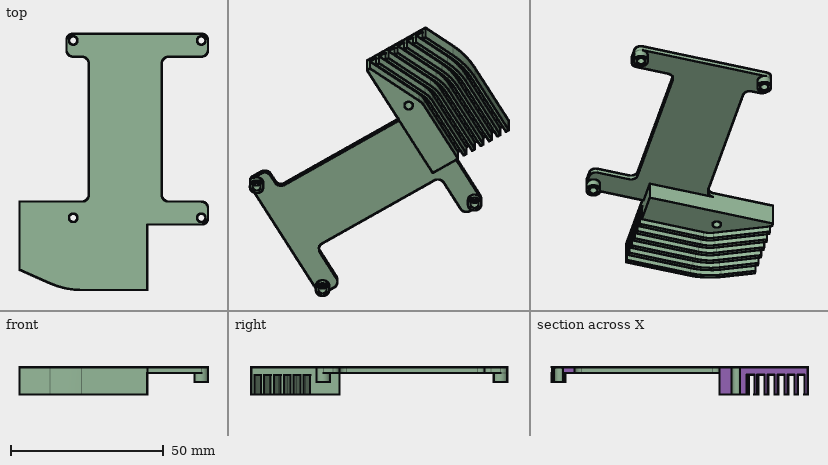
import cadquery as cq
import math

length_x = 61.77
length_y = 83.9
height = 9.0

hole_diameter = 2.7
standoff_diameter = 4.5
standoff_drop = 4.9
hole_spacing_x = 41.9
hole_spacing_y = 58.0
hole_margin = standoff_diameter / 2
hole_right = length_x - hole_margin
hole_left = hole_right - hole_spacing_x
hole_back = length_y - hole_margin
hole_front = hole_back - hole_spacing_y

plate_thickness = 2.0
arm_width = 7.6
corner_radius = hole_margin
arm_left = hole_left - hole_margin
web_left = 22.7
web_right = 46.6
front_arm_bottom = hole_front - hole_margin
front_arm_top = front_arm_bottom + arm_width
back_arm_bottom = length_y - arm_width

block_right = 41.85
block_back = front_arm_top
bend_radius = 25.0
bend_angle = math.radians(24.0)
slant_run = 10.1

channel_count = 6
roof_thickness = 2.5
fin_to_channel_ratio = 0.5
bend_end_x = slant_run + bend_radius * math.sin(bend_angle)
bend_rise = bend_radius * (1 - math.cos(bend_angle))
slant_top_y = bend_rise + slant_run * math.tan(bend_angle)
fin_field_width = (block_back - slant_top_y) * math.cos(bend_angle)
channel_width = fin_field_width / (channel_count + (channel_count + 1) * fin_to_channel_ratio)
fin_thickness = channel_width * fin_to_channel_ratio


def wall_points(offset):
    """Left end, bend start, bend middle, bend end of the front wall line moved inward by offset."""
    radius = bend_radius - offset

    def on_bend(angle):
        return (bend_end_x - radius * math.sin(angle), bend_radius - radius * math.cos(angle))

    left_end = (0, slant_top_y + offset / math.cos(bend_angle))
    return left_end, on_bend(bend_angle), on_bend(bend_angle / 2), on_bend(0)


def make_plate():
    outline = [
        (0, block_back),
        (web_left, block_back),
        (web_left, back_arm_bottom),
        (arm_left, back_arm_bottom),
        (arm_left, length_y),
        (length_x, length_y),
        (length_x, back_arm_bottom),
        (web_right, back_arm_bottom),
        (web_right, front_arm_top),
        (length_x, front_arm_top),
        (length_x, front_arm_bottom),
        (0, front_arm_bottom),
    ]
    plate = (
        cq.Workplane("XY", origin=(0, 0, height - plate_thickness))
        .polyline(outline)
        .close()
        .extrude(plate_thickness)
    )
    return plate.edges("|Z exc <X").fillet(corner_radius)


def make_block():
    left_end, bend_start, bend_middle, bend_end = wall_points(0)
    return (
        cq.Workplane("XY")
        .moveTo(*left_end)
        .lineTo(*bend_start)
        .threePointArc(bend_middle, bend_end)
        .lineTo(block_right, 0)
        .lineTo(block_right, block_back)
        .lineTo(0, block_back)
        .close()
        .extrude(height)
    )


def make_channel(index):
    """One channel: slanted at the left side, bent, then straight out of the right side."""
    near_offset = fin_thickness + index * (channel_width + fin_thickness)
    far_offset = near_offset + channel_width
    near_left, near_start, near_middle, near_end = wall_points(near_offset)
    far_left, far_start, far_middle, far_end = wall_points(far_offset)
    return (
        cq.Workplane("XY")
        .moveTo(*near_left)
        .lineTo(*near_start)
        .threePointArc(near_middle, near_end)
        .lineTo(block_right, near_offset)
        .lineTo(block_right, far_offset)
        .lineTo(*far_end)
        .threePointArc(far_middle, far_start)
        .lineTo(*far_left)
        .close()
        .extrude(height - roof_thickness)
    )


def make_cylinders(diameter, bottom, centers):
    return (
        cq.Workplane("XY", origin=(0, 0, bottom))
        .pushPoints(centers)
        .circle(diameter / 2)
        .extrude(height - bottom)
    )


standoff_centers = [
    (hole_left, hole_back),
    (hole_right, hole_back),
    (hole_right, hole_front),
]
hole_centers = standoff_centers + [(hole_left, hole_front)]

block = make_block()
for channel_index in range(channel_count):
    block = block.cut(make_channel(channel_index))

standoffs = make_cylinders(standoff_diameter, height - standoff_drop, standoff_centers)
holes = make_cylinders(hole_diameter, 0, hole_centers)
result = make_plate().union(block).union(standoffs).cut(holes).clean()